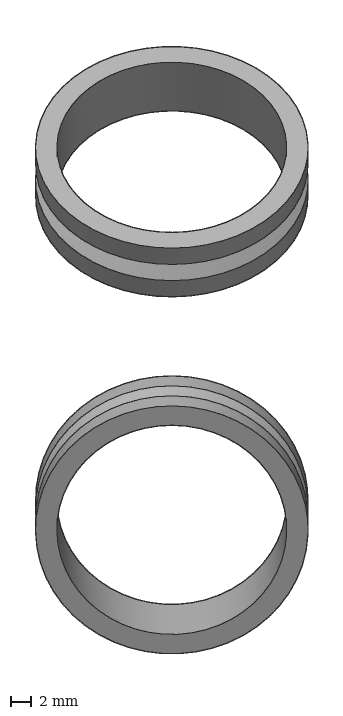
import cadquery as cq

outer_diameter = 26.33
bore_diameter = 22.2
height = 7.0

groove_width = 2.32
groove_depth = groove_width / 2

outer_radius = outer_diameter / 2
bore_radius = bore_diameter / 2
half_height = height / 2

wall_section = (
    cq.Workplane("XZ")
    .moveTo(bore_radius, -half_height)
    .lineTo(outer_radius, -half_height)
    .lineTo(outer_radius, -groove_width / 2)
    .lineTo(outer_radius - groove_depth, 0)
    .lineTo(outer_radius, groove_width / 2)
    .lineTo(outer_radius, half_height)
    .lineTo(bore_radius, half_height)
    .close()
)

result = wall_section.revolve(360, (0, 0, 0), (0, 1, 0))